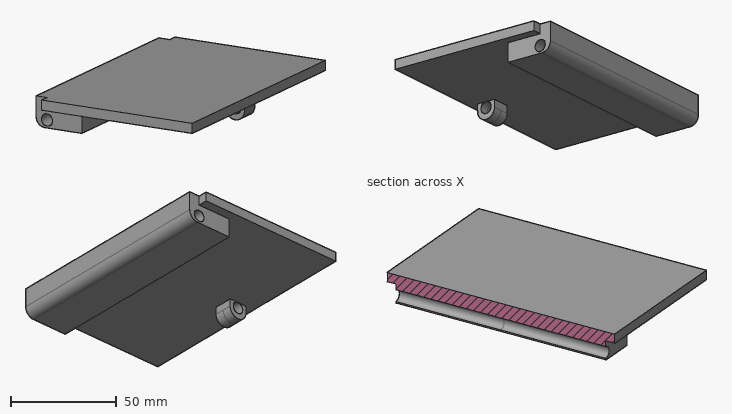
import cadquery as cq

PLATE_LENGTH_X = 88.0
PLATE_WIDTH_Y = 127.0
PLATE_THICKNESS = 5.0
NOTCH_X = 6.0
NOTCH_Y = 5.0

BLOCK_LENGTH_X = 25.0
BLOCK_HEIGHT = 15.0
BLOCK_WIDTH_Y = PLATE_WIDTH_Y - 2 * NOTCH_Y
BLOCK_ROUND_RADIUS = 5.0
HINGE_HOLE_X = 6.0
HINGE_HOLE_DEPTH = 11.0

LUG_EDGE_DISTANCE = 10.0
LUG_X = PLATE_LENGTH_X - LUG_EDGE_DISTANCE
LUG_HOLE_DEPTH = 8.0
LUG_BOTTOM_DEPTH = 14.0
LUG_WIDTH_X = 10.0
LUG_RADIUS = LUG_WIDTH_X / 2
LUG_ROUND_DEPTH = LUG_BOTTOM_DEPTH - LUG_RADIUS
LUG_LENGTH_Y = 10.0

PIN_HOLE_DIAMETER = 6.0


def box_below_top(x_start, length_x, width_y, height):
    """Box hanging down from the top face (Z = 0), centred on Y = 0."""
    return (
        cq.Workplane("XY")
        .box(length_x, width_y, height, centered=(False, True, False))
        .translate((x_start, 0, -height))
    )


def rod_along_y(x, depth, radius, length_y):
    """Cylinder along Y, centred on Y = 0, at a given depth below the top face."""
    return (
        cq.Workplane("XZ")
        .center(x, -depth)
        .circle(radius)
        .extrude(length_y / 2, both=True)
    )


def make_plate():
    """Flat plate whose two corners on the hinge side are notched."""
    main_panel = box_below_top(NOTCH_X, PLATE_LENGTH_X - NOTCH_X, PLATE_WIDTH_Y, PLATE_THICKNESS)
    hinge_tongue = box_below_top(0, NOTCH_X, BLOCK_WIDTH_Y, PLATE_THICKNESS)
    return main_panel.union(hinge_tongue)


def make_hinge_block():
    """Block between the notches, rounded along its outer bottom edge."""
    block = box_below_top(0, BLOCK_LENGTH_X, BLOCK_WIDTH_Y, BLOCK_HEIGHT)
    return block.edges("<X and <Z").fillet(BLOCK_ROUND_RADIUS)


def make_lug():
    """Round-ended lug that hangs from the plate; its upper part lies within the plate."""
    lug_blank = box_below_top(LUG_X - LUG_WIDTH_X / 2, LUG_WIDTH_X, LUG_LENGTH_Y, LUG_ROUND_DEPTH)
    round_end = rod_along_y(LUG_X, LUG_ROUND_DEPTH, LUG_RADIUS, LUG_LENGTH_Y)
    return lug_blank.union(round_end)


def make_pin_hole(x, depth):
    """Cutter for a pin hole that runs across the whole width."""
    return rod_along_y(x, depth, PIN_HOLE_DIAMETER / 2, PLATE_WIDTH_Y)


result = make_plate().union(make_hinge_block()).union(make_lug())
result = result.cut(make_pin_hole(HINGE_HOLE_X, HINGE_HOLE_DEPTH))
result = result.cut(make_pin_hole(LUG_X, LUG_HOLE_DEPTH))